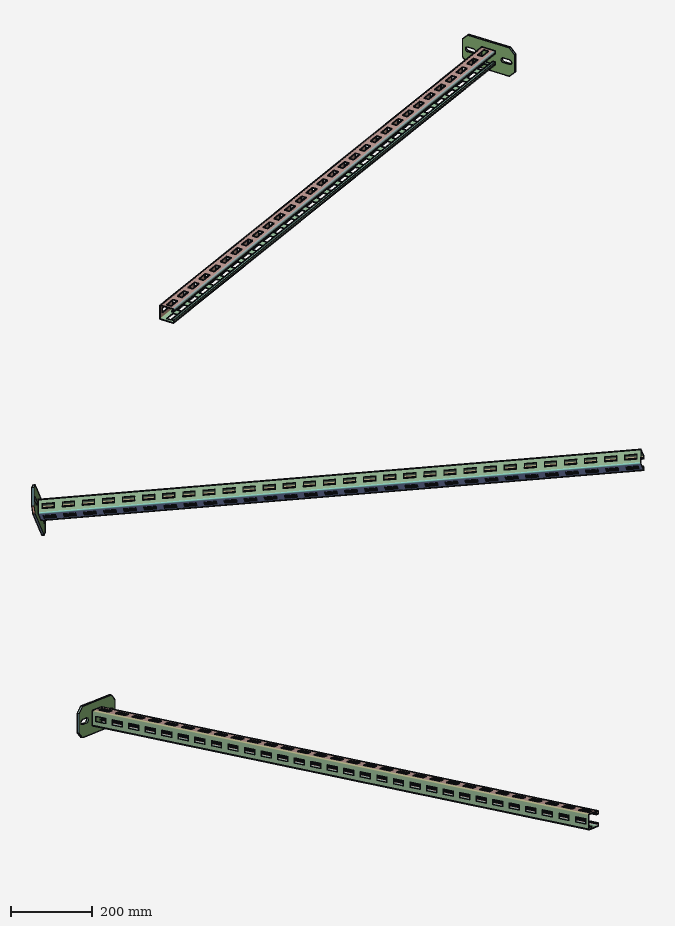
import cadquery as cq

plate_width = 150.0
plate_height = 80.0
plate_thickness = 6.0
plate_corner = 15.0
plate_slot_length = 30.0
plate_slot_height = 13.0
plate_slot_offset = 51.5

rail_length = 1500.0
rail_size = 41.0
wall = 2.0
bend_radius = 3.0
mouth_width = 21.0
lip_depth = 7.5

slot_pitch = 50.0
slot_count = int(rail_length / slot_pitch)
slot_length = 30.0
slot_width = 13.0

half_size = rail_size / 2
half_mouth = mouth_width / 2
inner_size = rail_size - 2 * wall
inner_radius = bend_radius - wall
slot_centers = [slot_pitch * (index + 0.5) for index in range(slot_count)]


def build_plate():
    """Rectangular plate with bevelled corners and a round-ended slot on each side of the rail."""
    plate = (
        cq.Workplane("XY")
        .box(plate_width, plate_thickness, plate_height)
        .translate((0, rail_length + plate_thickness / 2, 0))
        .edges("|Y")
        .chamfer(plate_corner)
    )
    slots = (
        cq.Workplane("XZ", origin=(0, rail_length + plate_thickness, 0))
        .pushPoints([(-plate_slot_offset, 0), (plate_slot_offset, 0)])
        .slot2D(plate_slot_length, plate_slot_height)
        .extrude(plate_thickness)
    )
    return plate.cut(slots)


def rail_bar(size_x, size_z, center_x=0, center_z=0):
    """Rectangular bar as long as the rail, from Y = 0 to the face of the plate."""
    return (
        cq.Workplane("XY")
        .box(size_x, rail_length, size_z)
        .translate((center_x, rail_length / 2, center_z))
    )


def build_rail_profile():
    """Square tube with rounded bends, opened along +X between two inward lips."""
    outer = rail_bar(rail_size, rail_size).edges("|Y").fillet(bend_radius)
    cavity = rail_bar(inner_size, inner_size).edges("|Y").fillet(inner_radius)
    mouth = rail_bar(half_size, mouth_width, half_size / 2)
    profile = outer.cut(cavity).cut(mouth)
    for side in (-1, 1):
        lip = rail_bar(
            lip_depth,
            wall,
            half_size - lip_depth / 2,
            side * (half_mouth + wall / 2),
        )
        profile = profile.union(lip)
    lip_corners = cq.selectors.BoxSelector(
        (half_size - wall, 0, -half_mouth - wall / 2),
        (half_size + wall, rail_length, half_mouth + wall / 2),
    )
    return profile.edges("|Y").edges(lip_corners).fillet(bend_radius)


def cut_slots(rail):
    """Cut the slot row through both flanges along Z and through the web along -X."""
    flange_cutters = (
        cq.Workplane("XY")
        .pushPoints([(0, y) for y in slot_centers])
        .rect(slot_width, slot_length)
        .extrude(rail_size, both=True)
    )
    web_cutters = (
        cq.Workplane("YZ")
        .pushPoints([(y, 0) for y in slot_centers])
        .rect(slot_length, slot_width)
        .extrude(-rail_size)
    )
    return rail.cut(flange_cutters).cut(web_cutters)


plate = build_plate()
rail = cut_slots(build_rail_profile())
result = cq.Compound.makeCompound([plate.val(), rail.val()])